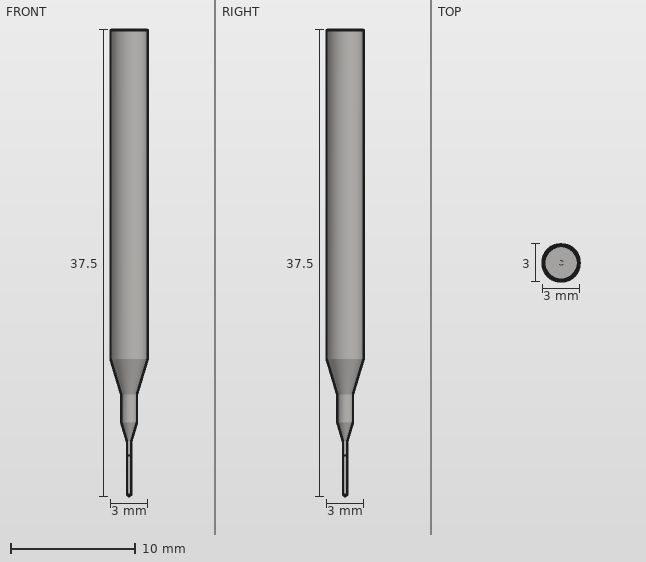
import cadquery as cq

total_length = 37.5
shank_radius = 3.0 / 2
neck_radius = 1.28 / 2
drill_radius = 0.38 / 2

point_height = 0.15
drill_top = 3.25
stem_top = 4.42
neck_bottom = 5.92
neck_top = 8.18
shank_bottom = 11.02

chamfer_width = 0.15
chamfer_height = 0.08


def revolve_about_z(profile):
    """Turn a half profile of (radius, height) points into a solid around Z."""
    return cq.Workplane("XZ").polyline(profile).close().revolve(360, (0, 0), (0, 1))


def make_shank():
    """Shank that steps down through two cones to a stem as thin as the drill."""
    return revolve_about_z([
        (0, drill_top),
        (drill_radius, drill_top),
        (drill_radius, stem_top),
        (neck_radius, neck_bottom),
        (neck_radius, neck_top),
        (shank_radius, shank_bottom),
        (shank_radius, total_length - chamfer_height),
        (shank_radius - chamfer_width, total_length),
        (0, total_length),
    ])


def make_drill():
    """Cutting part: a plain cylinder with a conical point, butted to the stem."""
    return revolve_about_z([
        (0, 0),
        (drill_radius, point_height),
        (drill_radius, drill_top),
        (0, drill_top),
    ])


shank = make_shank()
drill = make_drill()

result = cq.Compound.makeCompound([shank.val(), drill.val()])